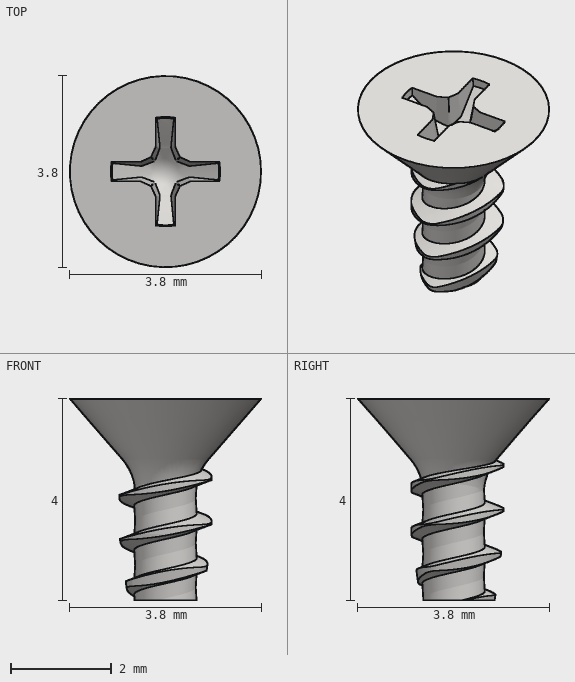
import cadquery as cq
import math

length = 4.0
head_radius = 1.9
head_half_angle = 41.0
cone_bottom = 2.8

shank_radius = 0.625
shank_dip = 0.02
dip_overrun = 1.2
waist_radius = shank_radius - shank_dip
shank_top = 2.48
dip_width = 0.64
dip_turns = 3.7
seam_angle = 100.0

pitch = 0.88
thread_turns = 3.5
thread_start = -0.18
ridge_base_width = 0.29
ridge_tip_width = 0.015
ridge_tip_radius = 1.025
root_overlap = 0.06

lobe_reach = 1.0
flat_reach = 0.84
crest_top = 3.12
taper_top = 1.32
crest_taper = 7.8

arm_reach = 1.09
arm_half_width = 0.19
arm_inner = 0.495
inner_corner = 0.29
recess_draft = 9.0
recess_depth = 0.84
floor_slope = 0.635


def make_head():
    """Countersunk cone with a blend arc tangent to the cone and to the waist."""
    angle = math.radians(head_half_angle)
    cone_bottom_radius = head_radius - (length - cone_bottom) * math.tan(angle)
    blend_radius = (cone_bottom_radius - waist_radius) / (1 - math.cos(angle))
    neck_bottom = cone_bottom - blend_radius * math.sin(angle)
    blend_middle = (
        waist_radius + blend_radius * (1 - math.cos(angle / 2)),
        neck_bottom + blend_radius * math.sin(angle / 2),
    )
    return (
        cq.Workplane("XZ")
        .moveTo(0, neck_bottom)
        .lineTo(waist_radius, neck_bottom)
        .threePointArc(blend_middle, (cone_bottom_radius, cone_bottom))
        .lineTo(head_radius, length)
        .lineTo(0, length)
        .close()
        .revolve(360, (0, 0), (0, 1))
    )


def helical_solid(points, start, turns):
    """Sweep an (r, z) profile, placed on +X, along a right-handed helix."""
    path = cq.Wire.makeHelix(pitch, pitch * turns, shank_radius).translate(cq.Vector(0, 0, start))
    profile = cq.Workplane("XZ").polyline([(r, z + start) for r, z in points]).close()
    return profile.sweep(cq.Workplane(obj=path), isFrenet=True)


def make_shank():
    """Cylinder with a shallow helical V between the thread roots."""
    half_width = dip_overrun * dip_width / 2
    outer_radius = waist_radius + dip_overrun * shank_dip
    dip = [(waist_radius, 0), (outer_radius, half_width), (outer_radius, -half_width)]
    shank = cq.Workplane("XY").circle(shank_radius).extrude(shank_top)
    shank = shank.rotate((0, 0, 0), (0, 0, 1), seam_angle)
    return shank.cut(helical_solid(dip, thread_start - pitch / 2, dip_turns))


def trilobe():
    """Constant-width outline: three broad arcs joined by three tighter lobe arcs."""
    centre_offset = (lobe_reach - flat_reach) / (2 - math.sqrt(3))
    lobe_radius = lobe_reach - centre_offset

    def polar(r, degrees):
        return r * math.cos(math.radians(degrees)), r * math.sin(math.radians(degrees))

    def lobe_point(lobe_angle, direction):
        cx, cy = polar(centre_offset, lobe_angle)
        dx, dy = polar(lobe_radius, direction)
        return cx + dx, cy + dy

    outline = cq.Workplane("XY").workplane(offset=taper_top).moveTo(*lobe_point(90, 60))
    for lobe in (90, 210, 330):
        outline = outline.threePointArc(polar(lobe_reach, lobe), lobe_point(lobe, lobe + 30))
        outline = outline.threePointArc(polar(flat_reach, lobe + 60), lobe_point(lobe + 120, lobe + 90))
    return outline.close()


def make_thread():
    """Triangular ridge trimmed to the lobed outline, which narrows near the tip."""
    slope = (ridge_base_width - ridge_tip_width) / 2 / (ridge_tip_radius - shank_radius)
    root = ridge_base_width / 2 + slope * root_overlap
    tip = ridge_tip_width / 2
    inner = shank_radius - root_overlap
    ridge = helical_solid(
        [(inner, -root), (ridge_tip_radius, -tip), (ridge_tip_radius, tip), (inner, root)],
        thread_start, thread_turns,
    )
    envelope = trilobe().extrude(crest_top - taper_top).union(
        trilobe().extrude(-taper_top, taper=crest_taper)
    )
    return ridge.intersect(envelope)


def make_recess():
    """Drafted cross with bevelled inner corners, ending on a conical floor."""
    arm_end = math.sqrt(arm_reach**2 - arm_half_width**2)
    outline = cq.Workplane("XY").workplane(offset=length).moveTo(arm_end, -arm_half_width)
    for quarter in range(4):
        c = round(math.cos(quarter * math.pi / 2))
        s = round(math.sin(quarter * math.pi / 2))

        def turned(x, y, c=c, s=s):
            return x * c - y * s, x * s + y * c

        outline = (
            outline.threePointArc(turned(arm_reach, 0), turned(arm_end, arm_half_width))
            .lineTo(*turned(arm_inner, arm_half_width))
            .lineTo(*turned(inner_corner, inner_corner))
            .lineTo(*turned(arm_half_width, arm_inner))
        )
        if quarter < 3:
            outline = outline.lineTo(*turned(arm_half_width, arm_end))
    cross = outline.close().extrude(-recess_depth, taper=recess_draft)
    floor = (
        cq.Workplane("XZ")
        .polyline([(0, length), (0, length - recess_depth), (recess_depth / floor_slope, length)])
        .close()
        .revolve(360, (0, 0), (0, 1))
    )
    return cross.intersect(floor)


result = make_head().union(make_thread()).union(make_shank()).cut(make_recess())